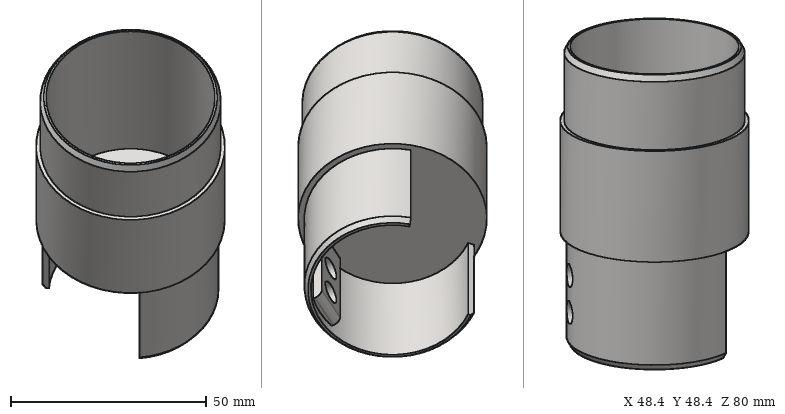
import cadquery as cq
import math

total_height = 80
shoulder_z = 30.0
collar_top_z = 60

collar_radius = 24.2
spigot_radius = 23.1
skirt_radius = 22.6
upper_bore_radius = 21.6
skirt_bore_radius = 20.9

chamfer_height = 1.6
chamfer_angle = 30
chamfer_width = chamfer_height * math.tan(math.radians(chamfer_angle))

floor_thickness = 2.0

window_angle = 100

pad_width = 10.0
pad_depth = 3.0
pad_bottom_z = 3.0
pad_round = 2.0
hole_diameter = 6.0
hole_heights = (10.0, 20)


def cylinder(radius, bottom_z, top_z):
    return cq.Workplane("XY").workplane(offset=bottom_z).circle(radius).extrude(top_z - bottom_z)


def make_outer_body():
    """Stepped solid of revolution with both ends chamfered."""
    profile = [
        (0, 0),
        (skirt_radius - chamfer_width, 0),
        (skirt_radius, chamfer_height),
        (skirt_radius, shoulder_z),
        (collar_radius, shoulder_z),
        (collar_radius, collar_top_z),
        (spigot_radius, collar_top_z),
        (spigot_radius, total_height - chamfer_height),
        (spigot_radius - chamfer_width, total_height),
        (0, total_height),
    ]
    return cq.Workplane("XZ").polyline(profile).close().revolve(360, (0, 0, 0), (0, 1, 0))


def make_window():
    """Wedge with its point on the axis, centred on -Y and reaching past the skirt."""
    half_angle = math.radians(window_angle / 2)
    wedge_depth = collar_radius
    half_width = wedge_depth * math.tan(half_angle)
    corners = [(0, 0), (-half_width, -wedge_depth), (half_width, -wedge_depth)]
    return cq.Workplane("XY").polyline(corners).close().extrude(shoulder_z)


def make_pad():
    """Flat-faced pad with a rounded lower front edge, trimmed to the skirt wall."""
    wall_middle = (skirt_bore_radius + skirt_radius) / 2
    face_y = skirt_bore_radius - pad_depth
    block = (
        cq.Workplane("XY")
        .box(pad_width, wall_middle - face_y, shoulder_z - pad_bottom_z, centered=(True, False, False))
        .translate((0, face_y, pad_bottom_z))
        .edges("<Y and <Z")
        .fillet(pad_round)
    )
    return block.intersect(cylinder(wall_middle, 0, shoulder_z))


def make_holes():
    """Round holes through the pad and the back wall."""
    centres = [(0, z) for z in hole_heights]
    return cq.Workplane("XZ").pushPoints(centres).circle(hole_diameter / 2).extrude(-collar_radius)


skirt_bore = cylinder(skirt_bore_radius, 0, shoulder_z)
upper_bore = cylinder(upper_bore_radius, shoulder_z + floor_thickness, total_height)

tube = make_outer_body().cut(skirt_bore).cut(upper_bore).cut(make_window())
result = tube.union(make_pad()).cut(make_holes())